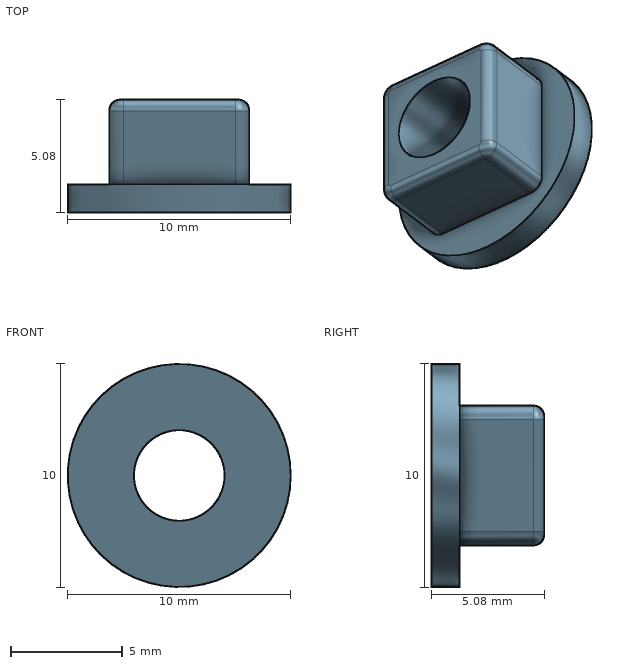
import cadquery as cq

flange_diameter = 10.03
flange_thickness = 1.27
overall_length = 5.08
bore_diameter = 4.06
block_width = 6.3
block_corner_radius = 0.635
block_end_fillet = 0.508


def cylinder_along_y(diameter, length):
    """Cylinder on the Y axis, from Y = 0 to Y = length."""
    return cq.Workplane("XZ").circle(diameter / 2).extrude(-length)


def square_block():
    """Square block with rounded long edges and a rounded +Y end."""
    block = cq.Workplane("XZ").rect(block_width, block_width).extrude(-overall_length)
    block = block.edges("|Y").fillet(block_corner_radius)
    return block.faces(">Y").edges().fillet(block_end_fillet)


flange = cylinder_along_y(flange_diameter, flange_thickness)
bore = cylinder_along_y(bore_diameter, overall_length)

result = flange.union(square_block()).cut(bore)